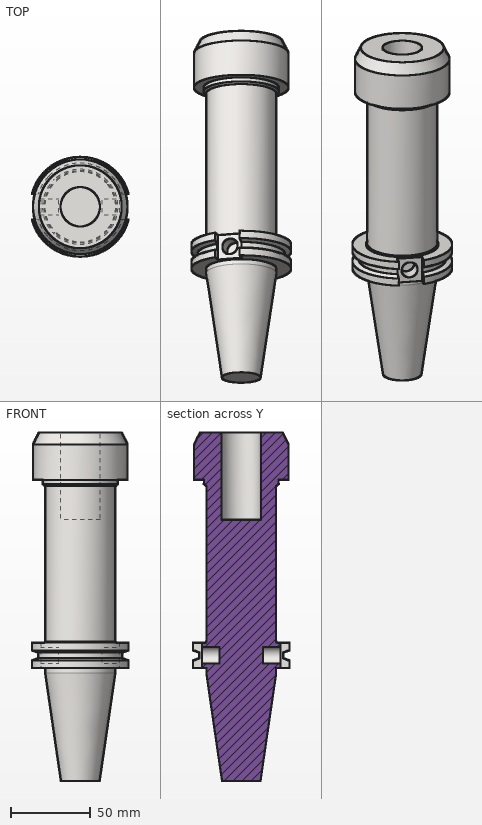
import cadquery as cq

total_height = 220.6
taper_length = 68.5
flange_bottom = 71.5
flange_top = 87.5
relief_height = 0.7
head_height = 30.0
head_chamfer_height = 7.5
collar_height = 2.6
collar_chamfer_height = 1.3

gauge_radius = 22.3
taper_ratio = 7 / 24
body_radius = 22.3
relief_radius = 23.0
flange_radius = 31.66
collar_radius = 23.8
head_radius = 30.0
head_top_radius = 26.3

groove_floor_radius = 27.8
groove_floor_width = 3.5
groove_mouth_width = 6.5

bore_diameter = 25.0
bore_depth = 55.2
slot_width = 16.0
slot_floor_distance = 25.0
slot_hole_diameter = 10.1
slot_hole_depth = 11.0

tip_radius = gauge_radius - taper_length * taper_ratio / 2
flange_height = flange_top - flange_bottom
flange_middle = (flange_bottom + flange_top) / 2
head_bottom = total_height - head_height
collar_bottom = head_bottom - collar_height


def turned_body():
    """Revolve the complete outer profile, including the flange groove."""
    profile = [
        (0, 0),
        (tip_radius, 0),
        (gauge_radius, taper_length),
        (gauge_radius, flange_bottom),
        (flange_radius, flange_bottom),
        (flange_radius, flange_middle - groove_mouth_width / 2),
        (groove_floor_radius, flange_middle - groove_floor_width / 2),
        (groove_floor_radius, flange_middle + groove_floor_width / 2),
        (flange_radius, flange_middle + groove_mouth_width / 2),
        (flange_radius, flange_top),
        (relief_radius, flange_top),
        (body_radius, flange_top + relief_height),
        (body_radius, collar_bottom - collar_chamfer_height),
        (collar_radius, collar_bottom),
        (collar_radius, head_bottom),
        (head_radius, head_bottom),
        (head_radius, total_height - head_chamfer_height),
        (head_top_radius, total_height),
        (0, total_height),
    ]
    return cq.Workplane("XZ").polyline(profile).close().revolve(360, (0, 0, 0), (0, 1, 0))


def tool_bore():
    """Blind bore entering from the top face."""
    return (
        cq.Workplane("XY", origin=(0, 0, total_height))
        .circle(bore_diameter / 2)
        .extrude(-bore_depth)
    )


def drive_slot(side):
    """Flat-floored slot through the flange with a blind hole in its floor."""
    slot_depth = flange_radius - slot_floor_distance
    slot = cq.Workplane("XY").box(slot_depth, slot_width, flange_height).translate(
        (side * (slot_floor_distance + slot_depth / 2), 0, flange_middle)
    )
    hole = (
        cq.Workplane("YZ", origin=(side * slot_floor_distance, 0, flange_middle))
        .circle(slot_hole_diameter / 2)
        .extrude(-side * slot_hole_depth)
    )
    return slot.union(hole)


result = turned_body().cut(tool_bore())
for side in (-1, 1):
    result = result.cut(drive_slot(side))